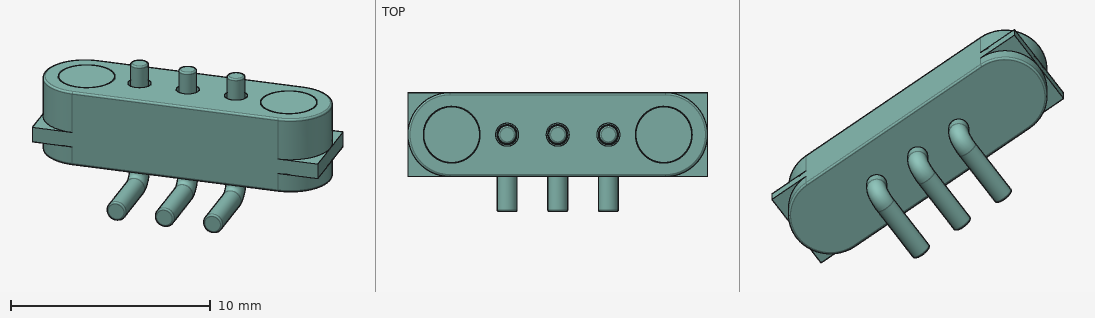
import cadquery as cq

LENGTH = 15.0
WIDTH = 4.2
HEIGHT = 4.0
EDGE_ROUND = 0.1
FLANGE_BOTTOM = 1.0
FLANGE_THICKNESS = 0.8

MAGNET_POCKET_DIAMETER = 2.85
MAGNET_GAP = 0.03
MAGNET_DIAMETER = MAGNET_POCKET_DIAMETER - 2 * MAGNET_GAP
MAGNET_HEIGHT = 2.0
MAGNET_X = 5.31

CONTACT_COUNT = 3
CONTACT_PITCH = 2.54
PLUNGER_HOLE_DIAMETER = 1.15
PLUNGER_DIAMETER = 0.9
PLUNGER_RISE = 1.1
TAIL_DIAMETER = 1.0
TAIL_DROP = 1.9
TAIL_REACH = 1.75
BEND_RADIUS = 0.75
SEAT_Z = HEIGHT / 2
PIN_END_ROUND = 0.09

contact_xs = [(i - (CONTACT_COUNT - 1) / 2) * CONTACT_PITCH for i in range(CONTACT_COUNT)]
magnet_xs = [-MAGNET_X, MAGNET_X]


def cylinder(x, diameter, bottom, top):
    """Upright cylinder on the line Y = 0."""
    return cq.Workplane("XY", origin=(x, 0, bottom)).circle(diameter / 2).extrude(top - bottom)


def make_housing():
    bar = cq.Workplane("XY").slot2D(LENGTH, WIDTH).extrude(HEIGHT)
    bar = bar.faces("<Z or >Z").edges().fillet(EDGE_ROUND)
    flange = cq.Workplane("XY", origin=(0, 0, FLANGE_BOTTOM)).rect(LENGTH, WIDTH).extrude(FLANGE_THICKNESS)
    housing = bar.union(flange)
    for x in magnet_xs:
        housing = housing.cut(cylinder(x, MAGNET_POCKET_DIAMETER, HEIGHT - MAGNET_HEIGHT, HEIGHT))
    for x in contact_xs:
        housing = housing.cut(cylinder(x, TAIL_DIAMETER, 0, SEAT_Z))
        housing = housing.cut(cylinder(x, PLUNGER_HOLE_DIAMETER, SEAT_Z, HEIGHT))
    return housing


def make_magnet(x):
    return cylinder(x, MAGNET_DIAMETER, HEIGHT - MAGNET_HEIGHT, HEIGHT)


def make_plunger(x):
    plunger = cylinder(x, PLUNGER_DIAMETER, SEAT_Z, HEIGHT + PLUNGER_RISE)
    return plunger.faces(">Z").edges().fillet(PIN_END_ROUND)


def make_tail(x):
    """Round pin running down out of the housing, then bent forward toward -Y."""
    axis_z = TAIL_DIAMETER / 2 - TAIL_DROP
    end_y = -WIDTH / 2 - TAIL_REACH
    path = (
        cq.Workplane("YZ", origin=(x, 0, 0))
        .moveTo(0, SEAT_Z)
        .lineTo(0, axis_z + BEND_RADIUS)
        .radiusArc((-BEND_RADIUS, axis_z), BEND_RADIUS)
        .lineTo(end_y, axis_z)
    )
    tail = cq.Workplane("XY", origin=(x, 0, SEAT_Z)).circle(TAIL_DIAMETER / 2).sweep(path)
    return tail.faces("<Y").edges().fillet(PIN_END_ROUND)


housing = make_housing()
magnets = [make_magnet(x) for x in magnet_xs]
plungers = [make_plunger(x) for x in contact_xs]
tails = [make_tail(x) for x in contact_xs]

result = cq.Compound.makeCompound(
    [housing.val()] + [body.val() for body in magnets + plungers + tails]
)